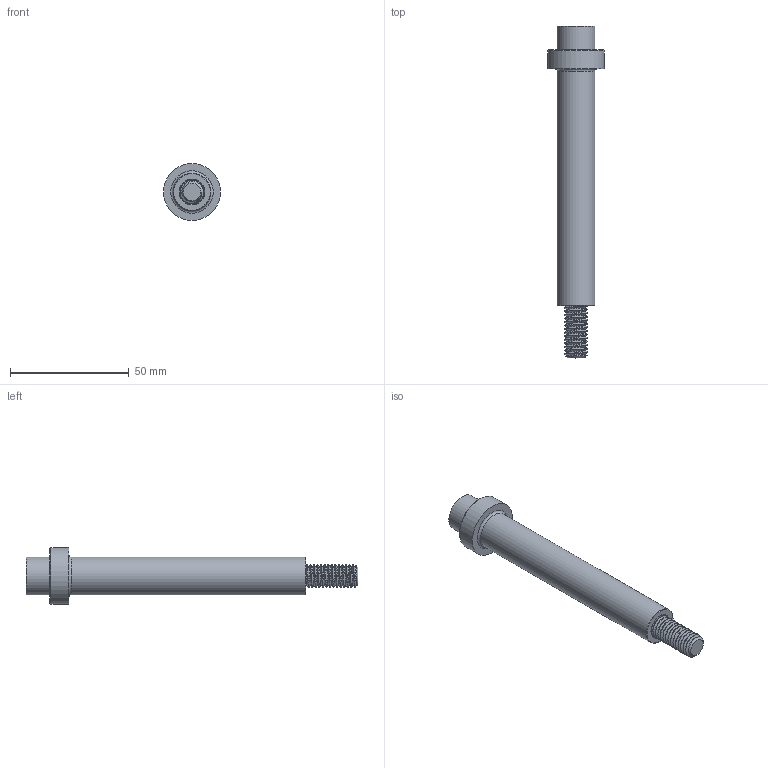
import cadquery as cq


shank_radius = 7.95
shank_length = 100.0
shank_chamfer = 0.2
collar_radius = 12.0
collar_width = 8.0
collar_chamfer = 0.5
collar_fillet = 1.0
spigot_length = 10.0
collar_front = shank_length
collar_back = collar_front + collar_width
spigot_end = collar_back + spigot_length

thread_radius = 5.0
thread_length = 22.0
pitch = 1.5
thread_depth = 0.6134 * pitch
root_radius = thread_radius - thread_depth
crest_flat = pitch / 8
root_flat = pitch / 4
ridge_overlap = 0.1
flank_slope = (pitch - root_flat - crest_flat) / thread_depth
ridge_base = pitch - root_flat + ridge_overlap * flank_slope
ridge_overrun = 2 * pitch
core_overrun = 2 * ridge_overrun
envelope_clearance = 0.5
tip_chamfer = 1.3
crest_offset = 0.45

embedded_length = 18.0
countersink_depth = 0.45


def make_turned_blank():
    """Chamfered shank, filleted collar and spigot as one revolved profile."""
    profile = (
        cq.Workplane("XY")
        .moveTo(0, 0)
        .lineTo(shank_radius - shank_chamfer, 0)
        .lineTo(shank_radius, shank_chamfer)
        .lineTo(shank_radius, collar_front - collar_fillet)
        .radiusArc((shank_radius + collar_fillet, collar_front), collar_fillet)
        .lineTo(collar_radius, collar_front)
        .lineTo(collar_radius, collar_back - collar_chamfer)
        .lineTo(collar_radius - collar_chamfer, collar_back)
        .lineTo(shank_radius, collar_back)
        .lineTo(shank_radius, spigot_end)
        .lineTo(0, spigot_end)
        .close()
    )
    return profile.revolve(360, (0, 0, 0), (0, 1, 0))


def make_thread_ridge():
    """Helical ridge of trapezoidal section around the Z axis, longer than the thread at both ends."""
    helix = cq.Wire.makeHelix(pitch, thread_length + 2 * ridge_overrun, root_radius)
    ridge = (
        cq.Workplane("XZ")
        .moveTo(root_radius - ridge_overlap, -ridge_base / 2)
        .lineTo(thread_radius, -crest_flat / 2)
        .lineTo(thread_radius, crest_flat / 2)
        .lineTo(root_radius - ridge_overlap, ridge_base / 2)
        .close()
        .sweep(cq.Workplane(helix), isFrenet=True)
    )
    return ridge.rotate((0, 0, 0), (0, 0, 1), 90).translate((0, 0, crest_offset - ridge_overrun))


def make_threaded_rod():
    """Threaded rod with a chamfered tip, reaching from the countersink toward -Y."""
    core = (
        cq.Workplane("XY")
        .workplane(offset=-core_overrun)
        .circle(root_radius)
        .extrude(thread_length + 2 * core_overrun)
    )
    envelope = (
        cq.Workplane("XY")
        .workplane(offset=-countersink_depth)
        .circle(thread_radius + envelope_clearance)
        .extrude(thread_length + countersink_depth)
        .faces(">Z")
        .chamfer(tip_chamfer + envelope_clearance)
    )
    rod = core.union(make_thread_ridge()).intersect(envelope)
    return rod.rotate((0, 0, 0), (1, 0, 0), 90)


def make_screw_socket():
    """Countersunk blind hole in the end face of the shank, sized for the embedded part of the screw."""
    profile = (
        cq.Workplane("XY")
        .moveTo(0, 0)
        .lineTo(thread_radius + countersink_depth, 0)
        .lineTo(thread_radius, countersink_depth)
        .lineTo(thread_radius, embedded_length)
        .lineTo(0, embedded_length)
        .close()
    )
    return profile.revolve(360, (0, 0, 0), (0, 1, 0))


def make_shaft():
    return make_turned_blank().cut(make_screw_socket())


def make_threaded_screw():
    """Screw threaded up to the bottom of the countersink and plain inside the socket."""
    embedded_part = (
        cq.Workplane("XZ")
        .workplane(offset=-embedded_length)
        .circle(thread_radius)
        .extrude(embedded_length - countersink_depth)
    )
    return make_threaded_rod().union(embedded_part)


shaft = make_shaft()
threaded_screw = make_threaded_screw()

result = cq.Compound.makeCompound([shaft.solids().val(), threaded_screw.solids().val()])